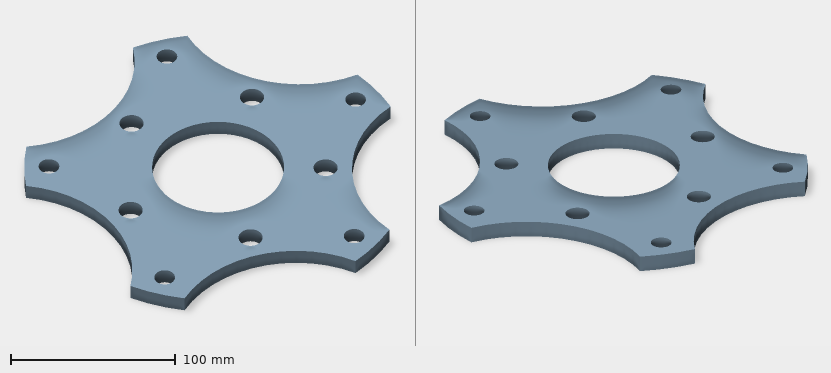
import cadquery as cq
import math

overall_width = 232.0
thickness = 10.0
arm_count = 5
arm_pitch = 360.0 / arm_count
first_arm_angle = 90.0

tip_radius = 117.5
scallop_floor_radius = 81.2

side_arm_angle = first_arm_angle - arm_pitch
side_corner_angle = math.degrees(math.acos(overall_width / 2 / tip_radius))
tip_half_angle = side_arm_angle - side_corner_angle

bore_diameter = 80.0
arm_hole_circle_radius = 102.5
arm_hole_diameter = 12.5
inner_hole_circle_radius = 65.2
inner_hole_diameter = 14.5


def polar_point(radius, angle):
    """Point at a radius and an angle in degrees about the plate centre."""
    return (radius * math.cos(math.radians(angle)), radius * math.sin(math.radians(angle)))


def star_plate():
    """Five-armed plate with curved tips and concave scallops."""
    outline = cq.Workplane("XY").moveTo(*polar_point(tip_radius, first_arm_angle - tip_half_angle))
    for arm in range(arm_count):
        arm_angle = first_arm_angle + arm * arm_pitch
        next_arm_angle = arm_angle + arm_pitch
        outline = outline.threePointArc(
            polar_point(tip_radius, arm_angle),
            polar_point(tip_radius, arm_angle + tip_half_angle),
        )
        outline = outline.threePointArc(
            polar_point(scallop_floor_radius, arm_angle + arm_pitch / 2),
            polar_point(tip_radius, next_arm_angle - tip_half_angle),
        )
    return outline.close().extrude(thickness)


def drill_ring(plate, circle_radius, diameter, start_angle):
    """Drill one through hole per arm, evenly spaced on a circle."""
    centres = [polar_point(circle_radius, start_angle + i * arm_pitch) for i in range(arm_count)]
    return plate.faces(">Z").workplane(origin=(0, 0, 0)).pushPoints(centres).hole(diameter)


result = star_plate()
result = result.faces(">Z").workplane(origin=(0, 0, 0)).hole(bore_diameter)

result = drill_ring(result, arm_hole_circle_radius, arm_hole_diameter, first_arm_angle)
result = drill_ring(result, inner_hole_circle_radius, inner_hole_diameter, first_arm_angle + arm_pitch / 2)